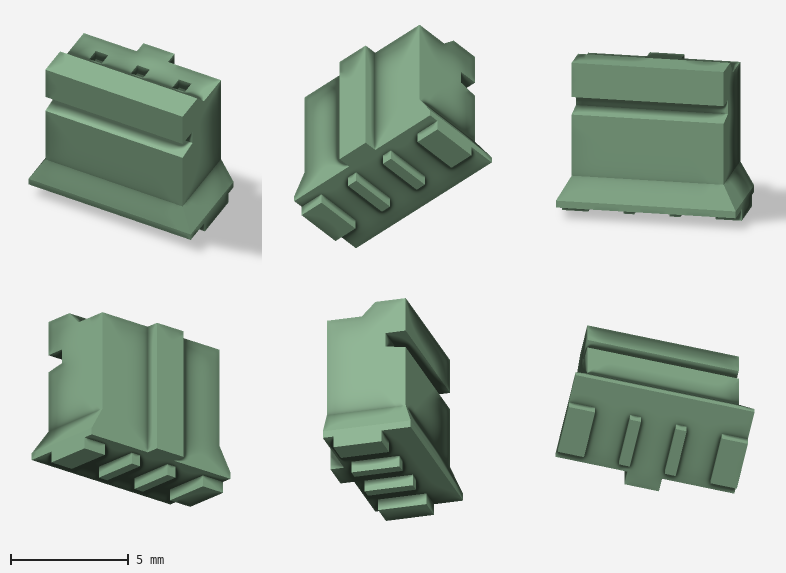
import cadquery as cq

flange_width = 7.8
body_width = 6.6
body_front = 0.4
body_back = 3.9

flange_bottom = 0.5
flange_edge_top = 0.8
flange_top = 1.83
shelf_height = 6.25
total_height = 6.85

groove_floor = 1.295
groove_outer_bottom = 4.55
groove_inner_bottom = 4.7
groove_top = 5.33
slope_start = 2.35
slope_end = 1.75

rib_width = 1.5
rib_back = 4.5

contact_count = 3
contact_pitch = 2.0
well_size = 0.6
well_center = 2.8
well_depth = 0.45
foot_gap = 1.53
foot_back = 3.43

contact_places = [(i - (contact_count - 1) / 2) * contact_pitch for i in range(contact_count)]


def block(width, front, back, bottom, top, center=0):
    """Box centred on an X place, between the given Y and Z limits."""
    return (
        cq.Workplane("XY")
        .box(width, back - front, top - bottom, centered=(True, False, False))
        .translate((center, front, bottom))
    )


def make_body():
    """Side profile of the housing, extruded across its width."""
    profile = [
        (body_front, flange_bottom),
        (body_front, groove_outer_bottom),
        (groove_floor, groove_inner_bottom),
        (groove_floor, groove_top),
        (body_front, groove_top),
        (body_front, total_height),
        (slope_end, total_height),
        (slope_start, shelf_height),
        (body_back, shelf_height),
        (body_back, flange_bottom),
    ]
    return cq.Workplane("YZ").polyline(profile).close().extrude(body_width / 2, both=True)


def make_flange():
    """Straight-edged skirt that tapers into the body on the front and both sides."""
    edge = block(flange_width, 0, body_back, flange_bottom, flange_edge_top)
    body_depth = body_back - body_front
    taper = (
        cq.Workplane("XY", origin=(0, body_back / 2, flange_edge_top))
        .rect(flange_width, body_back)
        .workplane(offset=flange_top - flange_edge_top)
        .center(0, body_front / 2)
        .rect(body_width, body_depth)
        .loft(ruled=True)
    )
    return edge.union(taper)


def make_feet():
    """Full-width foot strip, split by a gap below each contact."""
    feet = block(flange_width, groove_floor, foot_back, 0, flange_bottom)
    for x in contact_places:
        feet = feet.cut(block(foot_gap, groove_floor, foot_back, 0, flange_bottom, x))
    return feet


def make_wells():
    """Square contact wells sunk into the shelf."""
    return (
        cq.Workplane("XY", origin=(0, well_center, shelf_height))
        .pushPoints([(x, 0) for x in contact_places])
        .rect(well_size, well_size)
        .extrude(-well_depth)
    )


rib = block(rib_width, body_back, rib_back, flange_bottom, shelf_height)
result = make_body().union(make_flange()).union(rib).union(make_feet()).cut(make_wells())